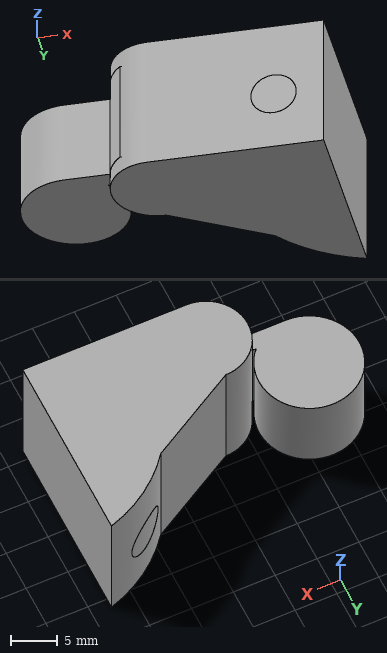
import cadquery as cq
import math


overall_length = 35.47

height = 16.0
nose_radius = 5.0
back_x = 19.5
peak_y = 17.35
ramp_angle = math.radians(30)
ramp_end_x = 10.68
ramp_end_y = nose_radius + ramp_end_x * math.tan(ramp_angle)
crown_mid = (14.47, 14.85)

knob_radius = 6.0
knob_x = back_x - overall_length + knob_radius
knob_y = nose_radius
latch_bottom = 2.0
knob_height = 10.0
lug_bottom_y = knob_y - knob_radius
lug_thickness = 2.0
block_height = 12.05
block_min_y = -3.83
block_max_y = 1.25
block_back_x = 0.0

pin_diameter = 5.0
pin_x = back_x - 5.55
pin_z = latch_bottom + knob_height / 2


def box(x_range, y_range, z_range):
    """Box spanning the given (low, high) ranges."""
    sizes = [high - low for low, high in (x_range, y_range, z_range)]
    corner = (x_range[0], y_range[0], z_range[0])
    return cq.Workplane("XY").box(*sizes, centered=False).translate(corner)


def make_envelope():
    """Housing outline extruded to full height, without any openings."""
    return (
        cq.Workplane("XY")
        .moveTo(0, -nose_radius)
        .lineTo(back_x, -nose_radius)
        .lineTo(back_x, peak_y)
        .threePointArc(crown_mid, (ramp_end_x, ramp_end_y))
        .lineTo(0, nose_radius)
        .threePointArc((-nose_radius, 0), (0, -nose_radius))
        .close()
        .extrude(height)
    )


def make_block(envelope):
    """Latch block, whose front face is flush with the rounded nose."""
    block = box(
        (-nose_radius, block_back_x),
        (block_min_y, block_max_y),
        (latch_bottom, latch_bottom + block_height),
    )
    return block.intersect(envelope)


def make_latch(envelope, block):
    """Round knob with a lug along its lower tangent, joined to the block."""
    knob = (
        cq.Workplane("XY", origin=(knob_x, knob_y, latch_bottom))
        .circle(knob_radius)
        .extrude(knob_height)
    )
    lug = box(
        (knob_x, block_back_x),
        (lug_bottom_y, lug_bottom_y + lug_thickness),
        (latch_bottom, latch_bottom + knob_height),
    )
    outside = knob.union(lug).cut(envelope)
    return outside.union(block)


def make_pin(envelope):
    """Pin along Y, both ends flush with the housing surface."""
    rod = (
        cq.Workplane("XZ", origin=(pin_x, -nose_radius, pin_z))
        .circle(pin_diameter / 2)
        .extrude(-(peak_y + nose_radius))
    )
    return rod.intersect(envelope)


envelope = make_envelope()
block = make_block(envelope)
latch = make_latch(envelope, block)
pin = make_pin(envelope)
housing = envelope.cut(block).cut(pin)

bodies = [housing, latch, pin]
result = cq.Compound.makeCompound([body.solids().val() for body in bodies])